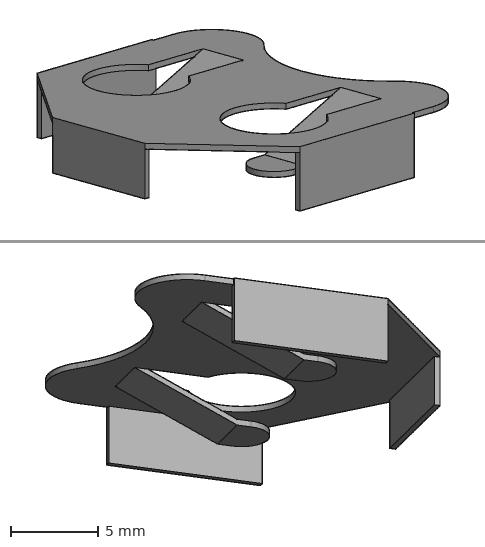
import cadquery as cq
import math

width = 21.0
length = 19.78
height = 3.85
sheet = 0.35

side_front = 5.71
side_back = 15.08
side_step = 0.15
front_width = 7.37
lobe_radius = 2.98
valley_y = 16.6

front_wall_height = 3.32

tongue_x = 5.5
tongue_width = 3.21
tongue_root_y = 15.81
tongue_bend_y = 9.58
tongue_drop = 2.69
opening_radius = 3.09
opening_y = 8.72

half_width = width / 2
half_front = front_width / 2
rear_half_width = half_width - side_step
lobe_x = rear_half_width - lobe_radius
lobe_y = length - lobe_radius

valley_offset = lobe_y - valley_y
scallop_radius = (lobe_x**2 + valley_offset**2 - lobe_radius**2) / (2 * (lobe_radius + valley_offset))
scallop_y = valley_y + scallop_radius
tangent_share = lobe_radius / (lobe_radius + scallop_radius)
tangent_x = lobe_x * (1 - tangent_share)
tangent_y = lobe_y + (scallop_y - lobe_y) * tangent_share

tangent_angle = math.atan2(scallop_y - lobe_y, -lobe_x)
mid_angle = tangent_angle / 2
lobe_mid_x = lobe_x + lobe_radius * math.cos(mid_angle)
lobe_mid_y = lobe_y + lobe_radius * math.sin(mid_angle)


def make_plate():
    return (
        cq.Workplane("XY")
        .moveTo(-half_front, 0)
        .lineTo(half_front, 0)
        .lineTo(half_width, side_front)
        .lineTo(half_width, side_back)
        .lineTo(rear_half_width, side_back)
        .lineTo(rear_half_width, lobe_y)
        .threePointArc((lobe_mid_x, lobe_mid_y), (tangent_x, tangent_y))
        .threePointArc((0, valley_y), (-tangent_x, tangent_y))
        .threePointArc((-lobe_mid_x, lobe_mid_y), (-rear_half_width, lobe_y))
        .lineTo(-rear_half_width, side_back)
        .lineTo(-half_width, side_back)
        .lineTo(-half_width, side_front)
        .close()
        .extrude(-sheet)
    )


def make_wall(x_min, x_max, y_min, y_max, depth):
    """Vertical wall hanging down from the top face."""
    size_x = x_max - x_min
    size_y = y_max - y_min
    return cq.Workplane("XY").box(size_x, size_y, depth, centered=False).translate((x_min, y_min, -depth))


def make_opening(x):
    """Round window joined to the slot left by the bent tongue."""
    window = cq.Workplane("XY").center(x, opening_y).circle(opening_radius).extrude(-sheet)
    slot = make_wall(x - tongue_width / 2, x + tongue_width / 2, opening_y, tongue_root_y, sheet)
    return window.union(slot)


def make_tongue(x):
    """Sloping strip from the plate down to a flat, round-ended contact."""
    tip_radius = tongue_width / 2
    tip_y = opening_y - tip_radius
    strip = (
        cq.Workplane("YZ")
        .polyline([
            (tongue_root_y, 0),
            (tongue_bend_y, -tongue_drop),
            (tip_y, -tongue_drop),
            (tip_y, -tongue_drop - sheet),
            (tongue_bend_y, -tongue_drop - sheet),
            (tongue_root_y, -sheet),
        ])
        .close()
        .extrude(tip_radius, both=True)
    )
    plan = (
        cq.Workplane("XY")
        .moveTo(-tip_radius, tongue_root_y)
        .lineTo(-tip_radius, opening_y)
        .threePointArc((0, tip_y), (tip_radius, opening_y))
        .lineTo(tip_radius, tongue_root_y)
        .close()
        .extrude(-height)
    )
    return strip.intersect(plan).translate((x, 0, 0))


result = make_plate()
result = result.union(make_wall(-half_width, -half_width + sheet, side_front, side_back, height))
result = result.union(make_wall(half_width - sheet, half_width, side_front, side_back, height))
result = result.union(make_wall(-half_front, half_front, 0, sheet, front_wall_height))

for x in (-tongue_x, tongue_x):
    result = result.cut(make_opening(x))
    result = result.union(make_tongue(x))